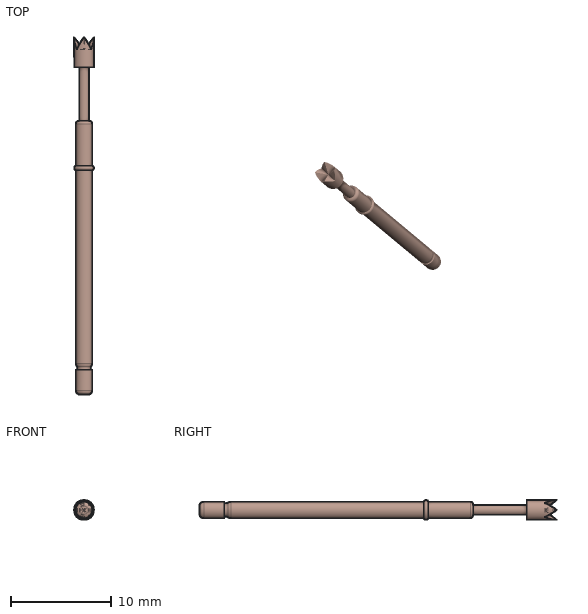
import cadquery as cq
import math

total_length = 35.7

barrel_radius = 0.83
barrel_length = 27.35
barrel_mouth_fillet = 0.3
tail_fillet = 0.43

groove_start = 2.5
neck_end = 2.83
shoulder_end = 3.15
neck_radius = 0.73

ring_radius = 1.0
ring_width = 0.45
ring_y = 22.65

shaft_radius = 0.5
shaft_start = barrel_length - shaft_radius

head_length = 3.0
head_radius = 1.0
notch_depth = 1.2
notch_angles = (45, 135)
head_base = total_length - head_length


def make_barrel():
    """Revolved barrel with its crimp groove, press ring and rounded ends."""
    shoulder_length = shoulder_end - neck_end
    shoulder_drop = barrel_radius - neck_radius
    arc_radius = (shoulder_length**2 + shoulder_drop**2) / (2 * shoulder_drop)
    half_angle = math.asin(shoulder_length / arc_radius) / 2
    shoulder_mid = (
        barrel_radius - arc_radius * (1 - math.cos(half_angle)),
        shoulder_end - arc_radius * math.sin(half_angle),
    )
    hollow_depth = (neck_end - groove_start) / 2 * shoulder_drop / shoulder_length
    hollow_mid = (neck_radius - hollow_depth, (neck_end + groove_start) / 2)
    barrel = (
        cq.Workplane("XY")
        .moveTo(0, 0)
        .lineTo(barrel_radius, 0)
        .lineTo(barrel_radius, groove_start)
        .lineTo(neck_radius, groove_start)
        .threePointArc(hollow_mid, (neck_radius, neck_end))
        .threePointArc(shoulder_mid, (barrel_radius, shoulder_end))
        .lineTo(barrel_radius, ring_y - ring_width / 2)
        .threePointArc((ring_radius, ring_y), (barrel_radius, ring_y + ring_width / 2))
        .lineTo(barrel_radius, barrel_length)
        .lineTo(0, barrel_length)
        .close()
        .revolve(360, (0, 0, 0), (0, 1, 0))
    )
    barrel = barrel.faces("<Y").edges().fillet(tail_fillet)
    return barrel.faces(">Y").edges().fillet(barrel_mouth_fillet)


def cylinder_along_y(radius, start, end):
    """Round bar on the probe axis between two Y positions."""
    return cq.Workplane("XZ", origin=(0, start, 0)).circle(radius).extrude(start - end)


def make_head():
    """Round head with V notches milled across both diagonals, leaving four teeth."""
    head = cylinder_along_y(head_radius, head_base, total_length)
    notch_half_width = head_radius * math.sin(math.radians(notch_angles[0]))
    notch = (
        cq.Workplane("XY")
        .moveTo(-notch_half_width, total_length)
        .lineTo(0, total_length - notch_depth)
        .lineTo(notch_half_width, total_length)
        .close()
        .extrude(2 * head_radius, both=True)
    )
    for angle in notch_angles:
        head = head.cut(notch.rotate((0, 0, 0), (0, 1, 0), angle))
    return head


shaft = cylinder_along_y(shaft_radius, shaft_start, head_base)
result = make_barrel().union(shaft).union(make_head())